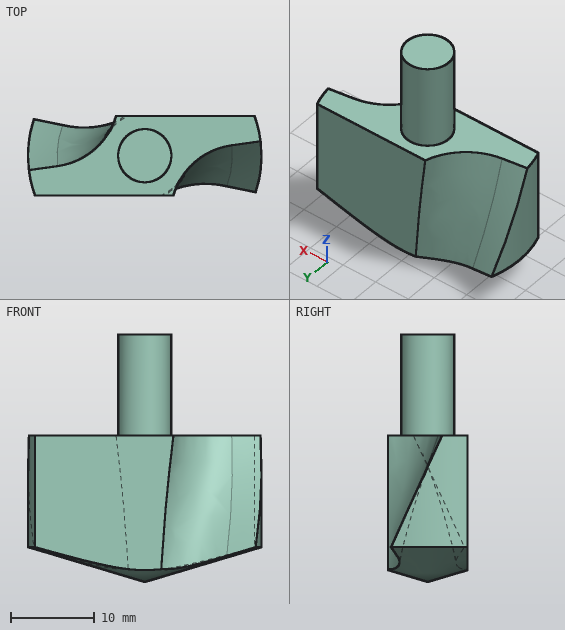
import cadquery as cq
import math

total_height = 29.7
cutting_diameter = 28.0
blade_thickness = 9.55
shank_diameter = 6.4
blade_top = 17.58
cone_height = 4.2

land_start_x = 10.42
land_start_y = 1.25
land_slope = 7.9
flute_radius = 8.5
flute_lead = 190.08
flute_clearance = 4.15

cutting_radius = cutting_diameter / 2


def blade_blank():
    """Cylinder with a conical tip, trimmed to a flat slab."""
    round_blank = (
        cq.Workplane("XZ")
        .moveTo(0, 0)
        .lineTo(cutting_radius, cone_height)
        .lineTo(cutting_radius, blade_top)
        .lineTo(0, blade_top)
        .close()
        .revolve(360, (0, 0), (0, 1))
    )
    slab = cq.Workplane("XY").box(
        cutting_diameter, blade_thickness, blade_top, centered=(True, True, False)
    )
    return round_blank.intersect(slab)


def flute_cutter():
    """Helical flute, swept down from its profile at the top of the blade."""
    slope = math.radians(land_slope)
    center_x = land_start_x + flute_radius * math.sin(slope)
    center_y = land_start_y - flute_radius * math.cos(slope)
    mid_angle = (math.radians(90 + land_slope) + math.pi) / 2
    arc_middle = (
        center_x + flute_radius * math.cos(mid_angle),
        center_y + flute_radius * math.sin(mid_angle),
    )
    outer_x = cutting_radius + flute_clearance
    outer_y = land_start_y + (outer_x - land_start_x) * math.tan(slope)
    bottom_y = -blade_thickness / 2 - flute_clearance
    twist = 360 * blade_top / flute_lead

    return (
        cq.Workplane("XY")
        .transformed(rotate=(0, 0, -twist))
        .moveTo(outer_x, outer_y)
        .lineTo(land_start_x, land_start_y)
        .threePointArc(arc_middle, (center_x - flute_radius, center_y))
        .lineTo(center_x - flute_radius, bottom_y)
        .lineTo(outer_x, bottom_y)
        .close()
        .twistExtrude(blade_top, twist)
    )


def shank():
    """Round shank standing on the flat top of the blade."""
    return (
        cq.Workplane("XY")
        .workplane(offset=blade_top)
        .circle(shank_diameter / 2)
        .extrude(total_height - blade_top)
    )


blade = blade_blank()
for flute_angle in (0, 180):
    blade = blade.cut(flute_cutter().rotate((0, 0, 0), (0, 0, 1), flute_angle))

result = blade.union(shank())